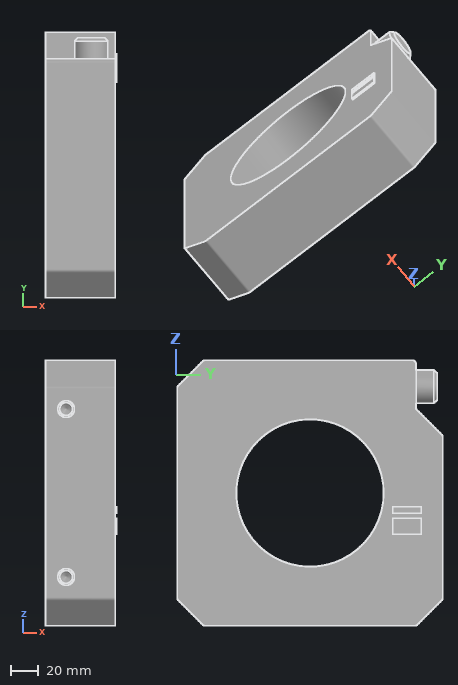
import cadquery as cq
import math

SIDE = 190.0
THICKNESS = 50.0
BORE_DIAMETER = 105.0
CORNER_CUT = 19.2
SEAT_HEIGHT = 35.0
EDGE_RADIUS = 3.0

PAD_RAISE = 1.0
PAD_LENGTH = 20.1
PAD_CENTER_Y = 69.4
PAD_SPANS_Z = [(-14.6, -9.7), (-29.6, -18.0)]

HEAD_DIAMETER = 24.0
HEAD_CHAMFER = 2.5
HEAD_HEIGHT = 15.2
HEAD_OFFSET_X = 7.8
HEAD_DROP = 19.0

SET_SCREW_DIAMETER = 12.0
SET_SCREW_LENGTH = 12.0
SET_SCREW_INSET_X = 14.8
SET_SCREW_SPACING = 119.9
SOCKET_MOUTH_DIAMETER = 9.1
SOCKET_DIAMETER = 6.6
SOCKET_POINT_ANGLE = 118.0

HALF_SIDE = SIDE / 2
CUT_START = HALF_SIDE - CORNER_CUT
SEAT_Y = CUT_START
SET_SCREW_X = SET_SCREW_INSET_X - THICKNESS / 2
SET_SCREW_HEIGHTS = [-SET_SCREW_SPACING / 2, SET_SCREW_SPACING / 2]


def facing_plus_y(x, y, z):
    """Workplane at a point, with its normal along +Y."""
    return cq.Workplane(cq.Plane(origin=(x, y, z), xDir=(1, 0, 0), normal=(0, 1, 0)))


def housing_plate():
    """Solid plate with three cut corners and a stepped corner at +Y, +Z."""
    seat_bottom = HALF_SIDE - SEAT_HEIGHT
    seat_foot = (SEAT_Y, seat_bottom)
    points = [
        (-CUT_START, HALF_SIDE),
        (SEAT_Y, HALF_SIDE),
        seat_foot,
        (HALF_SIDE, seat_bottom - CORNER_CUT),
        (HALF_SIDE, -CUT_START),
        (CUT_START, -HALF_SIDE),
        (-CUT_START, -HALF_SIDE),
        (-HALF_SIDE, -CUT_START),
        (-HALF_SIDE, CUT_START),
    ]
    plate = (
        cq.Workplane("YZ")
        .workplane(offset=-THICKNESS / 2)
        .polyline(points)
        .close()
        .extrude(THICKNESS)
    )
    inner_corner = cq.selectors.NearestToPointSelector((0, *seat_foot))
    along_x = cq.selectors.ParallelDirSelector(cq.Vector(1, 0, 0))
    outer_corners = cq.selectors.SubtractSelector(along_x, inner_corner)
    return plate.edges(outer_corners).fillet(EDGE_RADIUS)


def label_pad(bottom, top):
    return (
        cq.Workplane("YZ")
        .workplane(offset=THICKNESS / 2)
        .center(PAD_CENTER_Y, (bottom + top) / 2)
        .rect(PAD_LENGTH, top - bottom)
        .extrude(PAD_RAISE)
    )


def set_screw_cylinder(z):
    """Cylinder that fills one set screw hole."""
    return (
        facing_plus_y(SET_SCREW_X, -HALF_SIDE, z)
        .circle(SET_SCREW_DIAMETER / 2)
        .extrude(SET_SCREW_LENGTH)
    )


def make_housing():
    body = housing_plate()
    bore = cq.Workplane("YZ").circle(BORE_DIAMETER / 2).extrude(THICKNESS, both=True)
    body = body.cut(bore)
    for bottom, top in PAD_SPANS_Z:
        body = body.union(label_pad(bottom, top))
    for z in SET_SCREW_HEIGHTS:
        body = body.cut(set_screw_cylinder(z))
    return body


def make_clamp_screw():
    """Plain cylindrical head with a chamfered end, standing on the seat."""
    return (
        facing_plus_y(HEAD_OFFSET_X, SEAT_Y, HALF_SIDE - HEAD_DROP)
        .circle(HEAD_DIAMETER / 2)
        .extrude(HEAD_HEIGHT)
        .faces(">Y")
        .chamfer(HEAD_CHAMFER)
    )


def make_set_screw(z):
    """Headless screw whose socket is a 45 degree countersink followed by a drill point."""
    mouth_radius = SOCKET_MOUTH_DIAMETER / 2
    socket_radius = SOCKET_DIAMETER / 2
    mouth_depth = mouth_radius - socket_radius
    point_depth = socket_radius / math.tan(math.radians(SOCKET_POINT_ANGLE / 2))
    socket = (
        cq.Workplane("XY")
        .moveTo(0, 0)
        .lineTo(mouth_radius, 0)
        .lineTo(socket_radius, mouth_depth)
        .lineTo(0, mouth_depth + point_depth)
        .close()
        .revolve(360, (0, 0, 0), (0, 1, 0))
        .translate((SET_SCREW_X, -HALF_SIDE, z))
    )
    return set_screw_cylinder(z).cut(socket)


housing = make_housing()
clamp_screw = make_clamp_screw()
set_screws = [make_set_screw(z) for z in SET_SCREW_HEIGHTS]

result = cq.Compound.makeCompound(
    [housing.val(), clamp_screw.val(), *[screw.val() for screw in set_screws]]
)